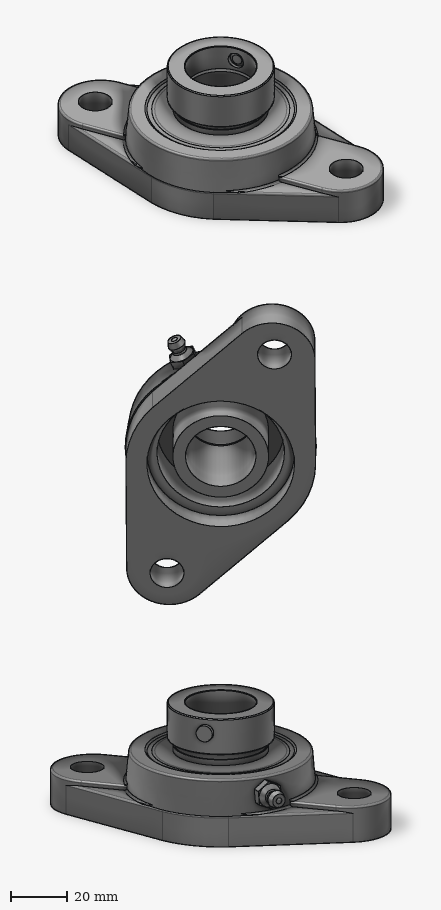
import cadquery as cq
import math

length = 125.0
hub_radius = 33.8
flank_start_x = 12.2
ear_radius = 15.2
mount_spacing = 99.0
mount_diameter = 12.0
web_height = 11.6
ear_height = 13.5
edge_fillet = 0.8

hub_height = 25.0
hub_foot_radius = 34.0
hub_shoulder_radius = 32.8
rim_round = 0.8
mouth_chamfer = 0.8

bearing_z = 16.0
seat_diameter = 55.1
outer_ring_width = 17.0
outer_ring_bore = 45.2
inner_ring_bore = 25.0
inner_ring_land = 34.0
inner_ring_width = 22.0
inner_ring_neck = 33.0
inner_ring_spigot = 30.6
inner_ring_top = 32.4

seal_diameter = 49.1
seal_rim_inner = 47.0
seal_rise = 0.4
seal_thickness = 1.5

collar_diameter = 38.1
collar_bore = 25.4
collar_bottom = 29.5
collar_top = 43.0
collar_socket_top = 33.5
collar_chamfer = 0.4
bore_chamfer = 0.2

screw_diameter = 6.0
screw_z = 37.8
screw_inner_y = 13.4
screw_outer_y = 20.6
screw_tip_diameter = 3.8
screw_tip_length = 0.6

nipple_z = 19.0
nipple_direction = (-math.sqrt(0.5), math.sqrt(0.5), 0)
shank_diameter = 5.0
shank_start = 30.0
hex_start = 33.8
hex_end = 36.8
hex_across_flats = 9.0
hex_tilt = 5.0
cone_base_radius = 4.4
neck_inner = 38.2
neck_middle = 39.0
neck_outer = 39.8
neck_radius = 2.6
neck_waist_radius = 2.4
bulge_at = 41.2
bulge_radius = 3.2
tip_at = 43.5
tip_diameter = 5.0
dome_radius = 1.1
dome_height = 0.4

ear_centre_x = length / 2 - ear_radius
seat_radius = seat_diameter / 2
outer_ring_top = bearing_z + outer_ring_width / 2
outer_ring_bottom = bearing_z - outer_ring_width / 2
ring_end_radius = math.sqrt(seat_radius**2 - (outer_ring_width / 2) ** 2)
inner_ring_bottom = bearing_z - inner_ring_width / 2
land_top = bearing_z + inner_ring_width / 2
seal_bottom = outer_ring_top - seal_thickness


def cylinder(diameter, bottom, top):
    """Solid cylinder about the Z axis."""
    return cq.Workplane("XY").workplane(offset=bottom).circle(diameter / 2).extrude(top - bottom)


def spin(points):
    """Revolve an (r, z) polygon about the Z axis."""
    return cq.Workplane("XZ").polyline(points).close().revolve(360, (0, 0, 0), (0, 1, 0))


def nipple_frame(distance):
    """Plane across the nipple axis at a distance from the shaft axis; its local Y is up."""
    origin = (distance * nipple_direction[0], distance * nipple_direction[1], nipple_z)
    across = (nipple_direction[1], -nipple_direction[0], 0)
    plane = cq.Plane(origin=origin, xDir=across, normal=nipple_direction)
    return cq.Workplane(plane)


def flange_outline():
    """Round middle, flat flanks that run tangent into the round ears."""
    flank_start_y = math.sqrt(hub_radius**2 - flank_start_x**2)
    reach = math.hypot(ear_centre_x - flank_start_x, flank_start_y)
    to_start = math.atan2(flank_start_y, flank_start_x - ear_centre_x)
    tangent_angle = to_start - math.acos(ear_radius / reach)
    end_x = ear_centre_x + ear_radius * math.cos(tangent_angle)
    end_y = ear_radius * math.sin(tangent_angle)
    return (
        cq.Workplane("XY")
        .moveTo(-flank_start_x, flank_start_y)
        .threePointArc((0, hub_radius), (flank_start_x, flank_start_y))
        .lineTo(end_x, end_y)
        .threePointArc((length / 2, 0), (end_x, -end_y))
        .lineTo(flank_start_x, -flank_start_y)
        .threePointArc((0, -hub_radius), (-flank_start_x, -flank_start_y))
        .lineTo(-end_x, -end_y)
        .threePointArc((-length / 2, 0), (-end_x, end_y))
        .close()
    )


def pad_block(height):
    """Stadium through both ears."""
    return cq.Workplane("XY").slot2D(length, 2 * ear_radius).extrude(height)


def hub_cone():
    """Tapered hub with a rounded upper rim."""
    shoulder_z = hub_height - rim_round
    rim_radius = hub_shoulder_radius - rim_round
    mid = rim_round * (1 - math.sqrt(0.5))
    return (
        cq.Workplane("XZ")
        .moveTo(0, web_height)
        .lineTo(hub_foot_radius, web_height)
        .lineTo(hub_shoulder_radius, shoulder_z)
        .threePointArc((hub_shoulder_radius - mid, hub_height - mid), (rim_radius, hub_height))
        .lineTo(0, hub_height)
        .close()
        .revolve(360, (0, 0, 0), (0, 1, 0))
    )


def foot_ring(surface_z):
    """Concave fillet ring where the hub cone rises from a flat surface."""
    slope = (hub_foot_radius - hub_shoulder_radius) / (hub_height - rim_round - web_height)
    wall = hub_foot_radius - slope * (surface_z - web_height)
    mid = edge_fillet * (1 - math.sqrt(0.5))
    return (
        cq.Workplane("XZ")
        .moveTo(hub_radius - 2 * edge_fillet, surface_z)
        .lineTo(wall + edge_fillet, surface_z)
        .threePointArc((wall + mid, surface_z + mid), (wall - slope * edge_fillet, surface_z + edge_fillet))
        .lineTo(hub_radius - 2 * edge_fillet, surface_z + edge_fillet)
        .close()
        .revolve(360, (0, 0, 0), (0, 1, 0))
    )


def make_housing():
    """Flange with raised ears, tapered hub, spherical bearing seat and nipple hole."""
    web = flange_outline().extrude(web_height).faces(">Z").edges("%LINE").fillet(edge_fillet)
    outline = flange_outline().extrude(hub_height)
    pads = pad_block(ear_height).faces(">Z").edges().fillet(edge_fillet)
    body = web.union(pads).union(hub_cone())
    body = body.union(foot_ring(ear_height).intersect(pad_block(hub_height)))
    body = body.union(foot_ring(web_height).intersect(outline))
    mounts = (
        cq.Workplane("XY")
        .pushPoints([(-mount_spacing / 2, 0), (mount_spacing / 2, 0)])
        .circle(mount_diameter / 2)
        .extrude(hub_height)
    )
    seat = cq.Workplane("XY").sphere(seat_radius).translate((0, 0, bearing_z))
    seat = seat.intersect(cylinder(seat_diameter, outer_ring_bottom, outer_ring_top))
    lower_bore = cylinder(2 * ring_end_radius, 0, bearing_z)
    mouth_z = outer_ring_top
    mouth = spin([
        (0, mouth_z),
        (ring_end_radius, mouth_z),
        (ring_end_radius + mouth_chamfer, hub_height),
        (0, hub_height),
    ])
    shank_hole = nipple_frame(shank_start).circle(shank_diameter / 2).extrude(hex_start - shank_start)
    return body.cut(mounts).cut(seat).cut(lower_bore).cut(mouth).cut(shank_hole)


def make_outer_ring():
    """Ring with a spherical outside and a recess for the seal in its upper face."""
    ball = cq.Workplane("XY").sphere(seat_radius).translate((0, 0, bearing_z))
    ring = ball.intersect(cylinder(seat_diameter, outer_ring_bottom, outer_ring_top))
    bore = cylinder(outer_ring_bore, outer_ring_bottom, outer_ring_top)
    seal_recess = cylinder(seal_diameter, seal_bottom, outer_ring_top)
    return ring.cut(bore).cut(seal_recess)


def make_inner_ring():
    """Wide land inside the seal, a neck, and a spigot that enters the collar."""
    bore_r = inner_ring_bore / 2
    land_r = inner_ring_land / 2
    neck_r = inner_ring_neck / 2
    spigot_r = inner_ring_spigot / 2
    return spin([
        (bore_r, inner_ring_bottom),
        (land_r, inner_ring_bottom),
        (land_r, land_top),
        (neck_r, land_top),
        (neck_r, collar_bottom),
        (spigot_r, collar_bottom),
        (spigot_r, inner_ring_top),
        (bore_r, inner_ring_top),
    ])


def make_seal():
    """Washer with a flat rim and a slightly conical face rising to the inner ring."""
    return spin([
        (inner_ring_land / 2, seal_bottom),
        (seal_diameter / 2, seal_bottom),
        (seal_diameter / 2, outer_ring_top),
        (seal_rim_inner / 2, outer_ring_top),
        (inner_ring_land / 2, outer_ring_top + seal_rise),
    ])


def screw_bar(start_y, end_y):
    """Plain bar of the screw diameter along +Y."""
    plane = cq.Plane(origin=(0, start_y, screw_z), xDir=(1, 0, 0), normal=(0, 1, 0))
    return cq.Workplane(plane).circle(screw_diameter / 2).extrude(end_y - start_y)


def make_collar():
    """Collar with a chamfered bore, a socket for the inner ring and a cross hole for the screw."""
    collar = cylinder(collar_diameter, collar_bottom, collar_top).edges().chamfer(collar_chamfer)
    collar = collar.cut(cylinder(collar_bore, collar_bottom, collar_top))
    bore_edge = cq.selectors.RadiusNthSelector(0)
    collar = collar.faces(">Z").edges("%CIRCLE").edges(bore_edge).chamfer(bore_chamfer)
    socket = cylinder(inner_ring_spigot, collar_bottom, collar_socket_top)
    return collar.cut(socket).cut(screw_bar(0, screw_outer_y))


def make_set_screw():
    """Screw with a tapered flat point facing the shaft."""
    taper = (screw_diameter - screw_tip_diameter) / 2
    return screw_bar(screw_inner_y, screw_outer_y).faces("<Y").chamfer(screw_tip_length, taper)


def make_nipple():
    """Shank and hexagon, then a waisted head with a domed tip."""
    shank = nipple_frame(shank_start).circle(shank_diameter / 2).extrude(hex_start - shank_start)
    hexagon = (
        nipple_frame(hex_start)
        .transformed(rotate=(0, 0, hex_tilt))
        .polygon(6, hex_across_flats, circumscribed=True)
        .extrude(hex_end - hex_start)
    )
    head_normal = (-math.sqrt(0.5), -math.sqrt(0.5), 0)
    head_plane = cq.Plane(origin=(0, 0, nipple_z), xDir=(0, 0, 1), normal=head_normal)
    head = (
        cq.Workplane(head_plane)
        .moveTo(0, hex_end)
        .lineTo(cone_base_radius, hex_end)
        .lineTo(neck_radius, neck_inner)
        .lineTo(neck_waist_radius, neck_middle)
        .lineTo(neck_radius, neck_outer)
        .lineTo(bulge_radius, bulge_at)
        .lineTo(tip_diameter / 2, tip_at)
        .lineTo(dome_radius, tip_at)
        .lineTo(0, tip_at + dome_height)
        .close()
        .revolve(360, (0, 0, 0), (0, 1, 0))
    )
    return shank.union(hexagon).union(head)


housing = make_housing()
outer_ring = make_outer_ring()
inner_ring = make_inner_ring()
seal = make_seal()
collar = make_collar()
set_screw = make_set_screw()
nipple = make_nipple()

result = cq.Compound.makeCompound([
    housing.val(),
    outer_ring.val(),
    inner_ring.val(),
    seal.val(),
    collar.val(),
    set_screw.val(),
    nipple.val(),
])